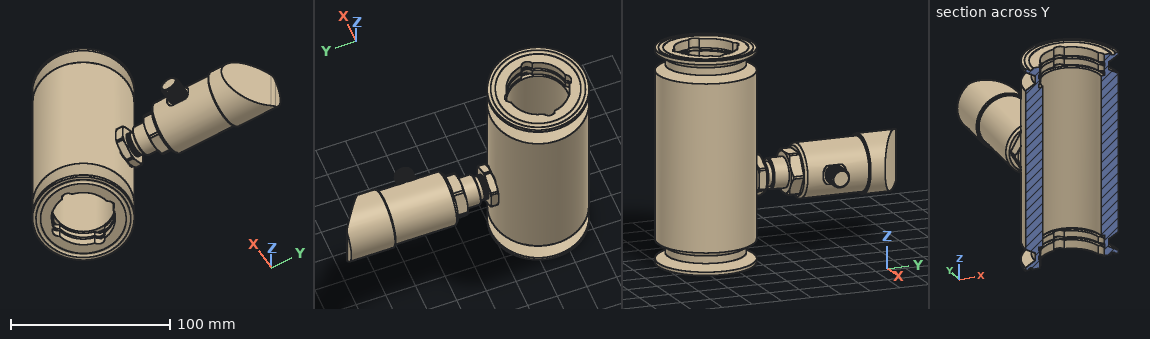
import cadquery as cq
import math

PIPE_DIAMETER = 64.0
PIPE_LENGTH = 140.0
BORE_DIAMETER = 40.0
NECK_DIAMETER = 51.0
NECK_LENGTH = 5.0
FLANGE_RIM = 2.3
CONE_ANGLE = 30

GASKET_INNER_DIAMETER = 53.8
GASKET_OUTER_DIAMETER = 59.5
GASKET_DEPTH = 1.3

RING_GROOVE_DIAMETER = 45.0
RING_GROOVE_WIDTH = 2.0
OUTER_LIP = 6.1
INNER_LIP = 4.3
NOTCH_DIAMETER = 8.0
NOTCH_CIRCLE_DIAMETER = 36.2
NOTCH_COUNT = 4

SENSOR_Z = -17.0
OVERALL_LENGTH = 165.5
TIP_Y = OVERALL_LENGTH - PIPE_DIAMETER / 2

NUT_START = 31.3
NUT_END = 36.4
THREAD_END = 39.4
COLLAR_START = 42.2
HEX_START = 52.5
BODY_START = 60.2
CAP_START = 103.3

CHAMFER_ANGLE = 30

STEM_DIAMETER = 15.9
NUT_TURN = 30
NUT_FLATS = 24.0
NUT_CORNERS = 27.0
NUT_FACE_DIAMETER = 25.3
THREAD_PITCH = 1.0
THREAD_DEPTH = 0.61

COLLAR_DIAMETER = 20.0
COLLAR_CHAMFER = 0.5
HEX_TURN = 0
HEX_FLATS = 27.0
HEX_CORNERS = 30.3
HEX_FACE_DIAMETER = 27.0
BODY_DIAMETER = 35.5
BODY_CHAMFER = 1.7

CAP_DIAMETER = 38.5
CAP_FACE_DIAMETER = 37.0
CAP_SHOULDER_X = -10.8
CAP_MID = (3.0, 124.0)
CAP_LOW_Y = 113.5
CAP_ROUNDING = 5.8

CONNECTOR_Y = 80.3
CONNECTOR_DIAMETER = 12.0
CONNECTOR_CORE_DIAMETER = 10.5
CONNECTOR_TIP_X = 28.5
CONNECTOR_NOSE = 0.8
CONNECTOR_THREADS = 10
SOCKET_DIAMETER = 15.9
SOCKET_FLOOR_X = 16.7


def along_y(y):
    """Workplane on the sensor axis at station y, with its normal along +Y."""
    return cq.Workplane("XZ", origin=(0, y, SENSOR_Z)).transformed(rotate=(180, 0, 0))


def rod_y(diameter, start, end):
    return along_y(start).circle(diameter / 2).extrude(end - start)


def hexagon(flats, corners, face_diameter, start, end, turn, both_ends):
    """Hexagonal prism along Y, rounded to the corner diameter and chamfered at one or both ends."""
    corner_to_corner = flats / math.cos(math.pi / 6)
    length = end - start
    base = along_y(start).transformed(rotate=(0, 0, turn))
    prism = base.polygon(6, corner_to_corner).extrude(length)
    run = (corners - face_diameter) / 2
    rise = run * math.tan(math.radians(CHAMFER_ANGLE))
    outline = [(0, 0), (face_diameter / 2, 0), (corners / 2, rise)]
    if both_ends:
        outline += [(corners / 2, length - rise), (face_diameter / 2, length), (0, length)]
    else:
        outline += [(corners / 2, length), (0, length)]
    envelope = cq.Workplane("XY").polyline(outline).close().revolve(360, (0, 0, 0), (0, 1, 0))
    return prism.intersect(envelope.translate((0, start, SENSOR_Z)))


def thread_outline(radius, depth, start, turns):
    """Points (radius, station) of a thread made of separate V rings."""
    points = []
    for turn in range(turns):
        station = start + turn * THREAD_PITCH
        points += [(radius, station), (radius - depth, station + THREAD_PITCH / 2)]
    return points + [(radius, start + turns * THREAD_PITCH)]


def make_pipe():
    radius = PIPE_DIAMETER / 2
    neck = NECK_DIAMETER / 2
    half = PIPE_LENGTH / 2
    cone = (radius - neck) * math.tan(math.radians(CONE_ANGLE))
    neck_end = half - FLANGE_RIM - cone
    upper = [
        (radius, neck_end - NECK_LENGTH - cone),
        (neck, neck_end - NECK_LENGTH),
        (neck, neck_end),
        (radius, half - FLANGE_RIM),
        (radius, half),
    ]
    lower = [(r, -z) for r, z in reversed(upper)]
    outline = [(0, -half), *lower, *upper, (0, half)]
    pipe = cq.Workplane("XZ").polyline(outline).close().revolve(360, (0, 0, 0), (0, 1, 0))
    pipe = pipe.cut(cq.Workplane("XY").circle(BORE_DIAMETER / 2).extrude(half, both=True))

    end_cut = make_end_cut()
    pipe = pipe.cut(end_cut).cut(end_cut.mirror("XY"))

    return pipe.cut(rod_y(NUT_CORNERS, NUT_START, NUT_END))


def make_end_cut():
    """Everything removed at the upper pipe end: gasket groove, ring grooves and notches."""
    half = PIPE_LENGTH / 2
    inner = GASKET_INNER_DIAMETER / 2
    outer = GASKET_OUTER_DIAMETER / 2
    gasket = (
        cq.Workplane("XZ")
        .moveTo(inner, half)
        .threePointArc(((inner + outer) / 2, half - GASKET_DEPTH), (outer, half))
        .close()
        .revolve(360, (0, 0, 0), (0, 1, 0))
    )

    first_groove = half - OUTER_LIP - RING_GROOVE_WIDTH
    second_groove = first_groove - INNER_LIP - RING_GROOVE_WIDTH
    removed = gasket
    for bottom in (first_groove, second_groove):
        ring = cq.Workplane("XY", origin=(0, 0, bottom)).circle(RING_GROOVE_DIAMETER / 2)
        removed = removed.union(ring.extrude(RING_GROOVE_WIDTH))

    notches = (
        cq.Workplane("XY", origin=(0, 0, second_groove))
        .polarArray(NOTCH_CIRCLE_DIAMETER / 2, 0, 360, NOTCH_COUNT)
        .circle(NOTCH_DIAMETER / 2)
        .extrude(half - second_groove)
    )
    return removed.union(notches)


def make_adapter():
    """Lock nut on a stem whose lower stretch is threaded."""
    nut = hexagon(NUT_FLATS, NUT_CORNERS, NUT_FACE_DIAMETER, NUT_START, NUT_END, NUT_TURN, True)
    turns = round((THREAD_END - NUT_END) / THREAD_PITCH)
    thread = thread_outline(STEM_DIAMETER / 2, THREAD_DEPTH, NUT_END, turns)
    outline = [(0, NUT_END), *thread, (STEM_DIAMETER / 2, COLLAR_START), (0, COLLAR_START)]
    stem = cq.Workplane("XY").polyline(outline).close().revolve(360, (0, 0, 0), (0, 1, 0))
    return nut.union(stem.translate((0, 0, SENSOR_Z)))


def make_housing():
    collar = rod_y(COLLAR_DIAMETER, COLLAR_START, HEX_START).faces("<Y").chamfer(COLLAR_CHAMFER)
    hexagonal = hexagon(HEX_FLATS, HEX_CORNERS, HEX_FACE_DIAMETER, HEX_START, BODY_START, HEX_TURN, False)
    body = rod_y(BODY_DIAMETER, BODY_START, CAP_START).faces("<Y").chamfer(BODY_CHAMFER)
    socket = (
        cq.Workplane("YZ", origin=(SOCKET_FLOOR_X, CONNECTOR_Y, SENSOR_Z))
        .circle(SOCKET_DIAMETER / 2)
        .extrude(BODY_DIAMETER)
    )
    return collar.union(hexagonal).union(body).cut(socket)


def make_connector():
    """Threaded plug along X, standing on the socket floor."""
    radius = CONNECTOR_DIAMETER / 2
    core = CONNECTOR_CORE_DIAMETER / 2
    thread_end = CONNECTOR_TIP_X - CONNECTOR_NOSE - (radius - core)
    thread_start = thread_end - CONNECTOR_THREADS * THREAD_PITCH
    thread = [(x, r) for r, x in thread_outline(radius, THREAD_DEPTH, thread_start, CONNECTOR_THREADS)]
    outline = [
        (SOCKET_FLOOR_X, 0),
        (SOCKET_FLOOR_X, radius),
        *thread,
        (CONNECTOR_TIP_X - CONNECTOR_NOSE, core),
        (CONNECTOR_TIP_X, core),
        (CONNECTOR_TIP_X, 0),
    ]
    plug = cq.Workplane("XY").polyline(outline).close().revolve(360, (0, 0, 0), (1, 0, 0))
    return plug.translate((0, CONNECTOR_Y, SENSOR_Z))


def make_cap():
    """Round cap with a slanted, slightly hollow top."""
    radius = CAP_DIAMETER / 2
    chamfer = (CAP_DIAMETER - CAP_FACE_DIAMETER) / 2
    blank = rod_y(CAP_DIAMETER, CAP_START, TIP_Y).faces("<Y").chamfer(chamfer)
    side = (
        cq.Workplane("XY", origin=(0, 0, SENSOR_Z))
        .moveTo(-radius, CAP_START)
        .lineTo(-radius, TIP_Y)
        .lineTo(CAP_SHOULDER_X, TIP_Y)
        .threePointArc(CAP_MID, (radius, CAP_LOW_Y))
        .lineTo(radius, CAP_START)
        .close()
        .extrude(radius, both=True)
    )
    shoulder = cq.selectors.NearestToPointSelector((CAP_SHOULDER_X, TIP_Y, SENSOR_Z))
    return blank.intersect(side.edges("|Z").edges(shoulder).fillet(CAP_ROUNDING))


pipe = make_pipe()
adapter = make_adapter()
housing = make_housing()
connector = make_connector()
cap = make_cap()

result = cq.Compound.makeCompound([pipe.val(), adapter.val(), housing.val(), connector.val(), cap.val()])